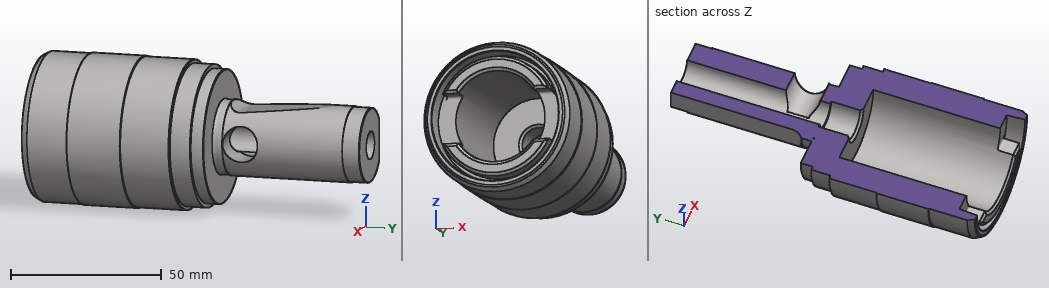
import cadquery as cq
import math

LENGTH = 113.8

NOSE_R = 24.0
BODY_R = 25.1
BAND_R = 25.4
SHOULDER_R = 23.9
COLLAR_R = 22.5
NOSE_CHAMFER_LENGTH = 2.4
BAND_START = 16.0
BAND_END = 34.8
BODY_END = 51.7
SHOULDER_END = 58.5
COLLAR_END = 62.8
EDGE_CHAMFER = 0.2

RIM_R = 23.3
RIM_SETBACK = 0.2

SHANK_R = 12.7
NECK_R = 12.5
PILOT_R = 12.5
NECK_END = 66.2
NECK_FLARE = 0.9
PILOT_START = 107.9

FLAT_DISTANCE = 10.1
FLAT_START = 71.0
TILTED_FLAT_START = 71.5
TILTED_FLAT_END = 102.5
TILT_ANGLE = 5.0

SIDE_HOLE_R = 6.0
SIDE_HOLE_Y = 72.5

MOUTH_R = 21.8
MOUTH_CHAMFER = 0.2
MOUTH_FLOOR_R = 21.4
MOUTH_DEPTH = 6.5
SOCKET_R = 15.4
SOCKET_DEPTH = BODY_END

BORE_R = 4.7
COUNTERBORE_R = 5.7
COUNTERBORE_END = COLLAR_END
COUNTERBORE_CHAMFER = 0.9

LUG_R = 20.1
LUG_HALF_GAP = 8.4
LUG_HEIGHT = 6.4
LUG_BEVEL_WIDTH = 1.0
LUG_BEVEL_DEPTH = 0.8
LUG_ROOT_FILLET = 0.8


def turned(points):
    """Solid of revolution about Y from an outline of (radius, y) points."""
    return cq.Workplane("XY").polyline(points).close().revolve(360, (0, 0, 0), (0, 1, 0))


def turned_blank():
    c = EDGE_CHAMFER
    band_step = BAND_R - BODY_R
    return turned([
        (0, 0),
        (RIM_R, 0),
        (NOSE_R, RIM_SETBACK),
        (BODY_R, NOSE_CHAMFER_LENGTH),
        (BODY_R, BAND_START),
        (BAND_R, BAND_START + band_step),
        (BAND_R, BAND_END - band_step),
        (BODY_R, BAND_END),
        (BODY_R, BODY_END - c),
        (BODY_R - c, BODY_END),
        (SHOULDER_R, BODY_END),
        (SHOULDER_R, SHOULDER_END),
        (COLLAR_R, SHOULDER_END),
        (COLLAR_R, COLLAR_END - c),
        (COLLAR_R - c, COLLAR_END),
        (NECK_R + c, COLLAR_END),
        (NECK_R, COLLAR_END + NECK_FLARE),
        (NECK_R, NECK_END),
        (SHANK_R, NECK_END),
        (SHANK_R, PILOT_START),
        (PILOT_R, PILOT_START),
        (PILOT_R, LENGTH - c),
        (PILOT_R - c, LENGTH),
        (0, LENGTH),
    ])


def flat_cutter():
    """Cutter for the -X flat, whose root curves out to the shank surface."""
    depth = SHANK_R - FLAT_DISTANCE
    run = FLAT_START - NECK_END
    root_r = (run**2 + depth**2) / (2 * depth)
    half_angle = math.atan2(run, root_r - depth) / 2
    mid = (
        -FLAT_DISTANCE - root_r * (1 - math.cos(half_angle)),
        FLAT_START - root_r * math.sin(half_angle),
    )
    return (
        cq.Workplane("XY")
        .moveTo(-FLAT_DISTANCE, LENGTH)
        .lineTo(-FLAT_DISTANCE, FLAT_START)
        .threePointArc(mid, (-SHANK_R, NECK_END))
        .lineTo(-2 * SHANK_R, NECK_END)
        .lineTo(-2 * SHANK_R, LENGTH)
        .close()
        .extrude(SHANK_R, both=True)
    )


def tilted_flat_cutter():
    """Cutter for the +Z flat, which deepens toward the neck and curves out at its root."""
    tilt = math.radians(TILT_ANGLE)
    depth = (TILTED_FLAT_END - TILTED_FLAT_START) * math.tan(tilt)
    root = (TILTED_FLAT_START, SHANK_R - depth)
    return (
        cq.Workplane("YZ")
        .moveTo(TILTED_FLAT_END, SHANK_R)
        .lineTo(*root)
        .tangentArcPoint((NECK_END, SHANK_R), relative=False)
        .lineTo(NECK_END, 2 * SHANK_R)
        .lineTo(TILTED_FLAT_END, 2 * SHANK_R)
        .close()
        .extrude(SHANK_R, both=True)
    )


def side_hole():
    return (
        cq.Workplane("YZ")
        .center(SIDE_HOLE_Y, 0)
        .circle(SIDE_HOLE_R)
        .extrude(2 * SHANK_R)
    )


def cavity():
    return turned([
        (0, 0),
        (MOUTH_R + MOUTH_CHAMFER, 0),
        (MOUTH_R, MOUTH_CHAMFER),
        (MOUTH_FLOOR_R, MOUTH_DEPTH),
        (SOCKET_R, MOUTH_DEPTH),
        (SOCKET_R, SOCKET_DEPTH),
        (COUNTERBORE_R + COUNTERBORE_CHAMFER, SOCKET_DEPTH),
        (COUNTERBORE_R, SOCKET_DEPTH + COUNTERBORE_CHAMFER),
        (COUNTERBORE_R, COUNTERBORE_END),
        (BORE_R, COUNTERBORE_END),
        (BORE_R, LENGTH),
        (0, LENGTH),
    ])


def lugs():
    """Ring with bevelled front edges, parted by a slot that bevels open and has filleted roots."""
    front = MOUTH_DEPTH - LUG_HEIGHT
    bevel_end = front + LUG_BEVEL_DEPTH
    ring = turned([
        (SOCKET_R, MOUTH_DEPTH),
        (LUG_R, MOUTH_DEPTH),
        (LUG_R, bevel_end),
        (LUG_R - LUG_BEVEL_WIDTH, front),
        (SOCKET_R + LUG_BEVEL_WIDTH, front),
        (SOCKET_R, bevel_end),
    ])
    half_bottom = LUG_HALF_GAP - LUG_ROOT_FILLET
    half_top = LUG_HALF_GAP + LUG_BEVEL_WIDTH
    fillet_start = MOUTH_DEPTH - LUG_ROOT_FILLET
    sag = LUG_ROOT_FILLET * (1 - math.sqrt(0.5))
    root_y = MOUTH_DEPTH - sag
    root_z = LUG_HALF_GAP - sag
    slot = (
        cq.Workplane("YZ")
        .moveTo(front, -half_top)
        .lineTo(bevel_end, -LUG_HALF_GAP)
        .lineTo(fillet_start, -LUG_HALF_GAP)
        .threePointArc((root_y, -root_z), (MOUTH_DEPTH, -half_bottom))
        .lineTo(MOUTH_DEPTH, half_bottom)
        .threePointArc((root_y, root_z), (fillet_start, LUG_HALF_GAP))
        .lineTo(bevel_end, LUG_HALF_GAP)
        .lineTo(front, half_top)
        .close()
        .extrude(LUG_R, both=True)
    )
    return ring.cut(slot)


result = (
    turned_blank()
    .cut(flat_cutter())
    .cut(tilted_flat_cutter())
    .cut(side_hole())
    .cut(cavity())
    .union(lugs())
)